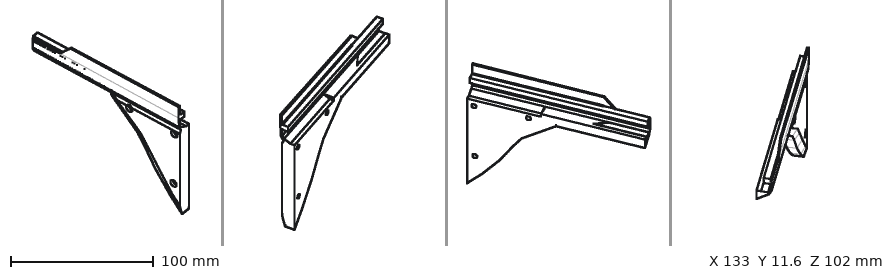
import cadquery as cq

LENGTH = 133.0
DEPTH = 11.6
HEIGHT = 102.0

PLATE_BACK_Y = 1.5
PLATE_TOP_LEFT = 101.6
FOLD_Z = 82.9
FRONT_Y_LEFT = 0.7
FRONT_Y_RIGHT_TOP = 0.0
FRONT_Y_RIGHT_FOLD = 0.4
VALLEY_Y = 2.7
VALLEY_Z = 79.0
LEDGE_Z = 81.1
FOOT_BOTTOM_Z = 73.2
ROOT_SIZE = 1.7
ROOT_Y = PLATE_BACK_Y + ROOT_SIZE

NOTCH_Z = 91.8
NOTCH_START_X = 25.1
NOTCH_END_X = 34.8

RIB_BACK_Y = 6.4
RIB_BOTTOM_Z = 88.8
RIB_TOP_Z = 93.5
RIB_BEVEL = 0.5

BRACKET_X = 66.5
BRACKET_FRONT_Y = 1.3
BEVEL_BACK_Y = 3.9
BRACKET_FRONT_TOP_Z = 76.1
BACK_START = (BRACKET_X, FOOT_BOTTOM_Z)
BEVEL_START = (69.3, 75.0)
OUTER_CURVE = [(92.3, 53.9), (98.7, 44.7), (108.7, 28.7), (122.0, 11.8), (LENGTH, 0.0)]
FRONT_CURVE = [(76.0, 75.8), (97.9, 56.8), (105.0, 46.7), (115.5, 31.5), (126.9, 15.5), (LENGTH, 9.5)]

HOLE_CENTERS = [(87.1, 74.3), (128.0, 73.2), (127.3, 27.0)]
HOLE_DIAMETER = 3.5
HEAD_DIAMETER = 5.5
HEAD_DEPTH = 2.7

LEDGE_STEP_Y = 8.2
GROOVE_DEPTH = 0.3
GROOVE_LENGTH = 39.9
GROOVE_FRONT_LENGTH = 29.3
RELIEF_X = 77.8
RELIEF_FLOOR_Z = 78.6


def prism_along_x(points_yz, x_start, x_end):
    """Extrude a YZ outline from x_start to x_end."""
    return cq.Workplane("YZ", origin=(x_start, 0, 0)).polyline(points_yz).close().extrude(x_end - x_start)


def loft_wires(points_a, points_b):
    """Straight-sided solid between two closed outlines with matching corners."""
    wires = [
        cq.Wire.makePolygon([cq.Vector(*point) for point in points], close=True)
        for points in (points_a, points_b)
    ]
    return cq.Workplane(obj=cq.Solid.makeLoft(wires, True))


def rail_outline(x, top_z, front_top_y, front_fold_y):
    """Cross-section of the rail at position x."""
    return [
        (x, PLATE_BACK_Y, top_z),
        (x, front_top_y, top_z),
        (x, front_top_y, NOTCH_Z),
        (x, front_fold_y, FOLD_Z),
        (x, VALLEY_Y, VALLEY_Z),
        (x, DEPTH, FOOT_BOTTOM_Z),
        (x, DEPTH, LEDGE_Z),
        (x, ROOT_Y, LEDGE_Z),
        (x, PLATE_BACK_Y, LEDGE_Z + ROOT_SIZE),
    ]


def make_rail():
    rail = loft_wires(
        rail_outline(0.0, PLATE_TOP_LEFT, FRONT_Y_LEFT, FRONT_Y_LEFT),
        rail_outline(LENGTH, HEIGHT, FRONT_Y_RIGHT_TOP, FRONT_Y_RIGHT_FOLD),
    )
    notch = (
        cq.Workplane("XZ")
        .polyline([(0, NOTCH_Z), (NOTCH_START_X, NOTCH_Z), (NOTCH_END_X, HEIGHT), (0, HEIGHT)])
        .close()
        .extrude(-PLATE_BACK_Y)
    )
    return rail.cut(notch)


def make_rib():
    rib = prism_along_x(
        [
            (PLATE_BACK_Y, RIB_BOTTOM_Z),
            (RIB_BACK_Y, RIB_BOTTOM_Z),
            (RIB_BACK_Y, RIB_TOP_Z),
            (PLATE_BACK_Y, RIB_TOP_Z),
        ],
        0.0,
        LENGTH,
    )
    bevel = prism_along_x(
        [
            (PLATE_BACK_Y, RIB_TOP_Z),
            (PLATE_BACK_Y + RIB_BEVEL, RIB_TOP_Z),
            (PLATE_BACK_Y, RIB_TOP_Z + RIB_BEVEL),
        ],
        NOTCH_END_X,
        LENGTH,
    )
    return rib.union(bevel)


def bracket_outline(y, top_left, curve):
    """Bracket outline at depth y: the top edge, then the curve from its left end to the tip."""
    corners = [(LENGTH, top_left[1]), top_left] + curve
    return [(x, y, z) for x, z in corners]


def make_bracket():
    top_left = (BRACKET_X, LEDGE_Z)
    front_top_left = (FRONT_CURVE[0][0], BRACKET_FRONT_TOP_Z)
    back = bracket_outline(DEPTH, top_left, [BACK_START] + OUTER_CURVE)
    middle = bracket_outline(BEVEL_BACK_Y, top_left, [BEVEL_START] + OUTER_CURVE)
    front = bracket_outline(BRACKET_FRONT_Y, front_top_left, FRONT_CURVE)
    return loft_wires(back, middle).union(loft_wires(middle, front))


def make_screw_holes():
    face = cq.Workplane("XZ").pushPoints(HOLE_CENTERS)
    shafts = face.circle(HOLE_DIAMETER / 2).extrude(-DEPTH)
    heads = face.circle(HEAD_DIAMETER / 2).extrude(-(BRACKET_FRONT_Y + HEAD_DEPTH))
    return shafts.union(heads)


def make_ledge_groove():
    """Shallow groove in the ledge at the left end, closed by a slanted end."""
    return (
        cq.Workplane("XY", origin=(0, 0, LEDGE_Z - GROOVE_DEPTH))
        .polyline(
            [
                (0, ROOT_Y),
                (GROOVE_FRONT_LENGTH, ROOT_Y),
                (GROOVE_LENGTH, LEDGE_STEP_Y),
                (0, LEDGE_STEP_Y),
            ]
        )
        .close()
        .extrude(GROOVE_DEPTH)
    )


def make_ledge_relief():
    """Lowered ledge behind the bracket: a flat floor that rises toward the plate."""
    return prism_along_x(
        [
            (ROOT_Y, LEDGE_Z),
            (LEDGE_STEP_Y, RELIEF_FLOOR_Z),
            (DEPTH, RELIEF_FLOOR_Z),
            (DEPTH, LEDGE_Z),
        ],
        RELIEF_X,
        LENGTH,
    )


result = (
    make_rail()
    .union(make_rib())
    .union(make_bracket())
    .cut(make_ledge_groove())
    .cut(make_ledge_relief())
    .cut(make_screw_holes())
)